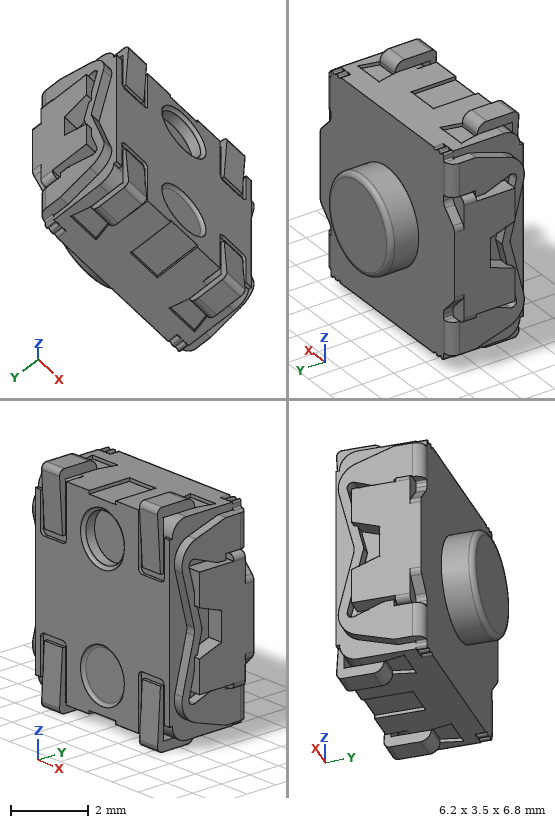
import cadquery as cq
import math


BODY_HALF_X = 2.6
BODY_HALF_Z = 3.1
BODY_HEIGHT = 2.2
RECESS_DEPTH = 0.1

COVER_THICKNESS = 0.3
COVER_TOP = BODY_HEIGHT + COVER_THICKNESS
COVER_CORNER_RADIUS = 0.05
FLUTE_RADIUS = 0.055
FLUTE_SHOULDER_RADIUS = 0.04
FLUTE_CENTERS_X = (2.22, 2.45)

FLANGE_CORNER_Z = 1.08
FLANGE_ROOT_Z = 1.6
FLANGE_CORNER_RADIUS = 0.26

BUTTON_DIAMETER = 2.9
BUTTON_TOP = 3.4
BUTTON_ROUND = 0.15

SIDE_THICKNESS = 0.3
SIDE_OUTER_X = BODY_HALF_X + SIDE_THICKNESS
SIDE_HALF_Z = 2.88
FOLD_RADIUS = 0.29
SIDE_SHOULDER_Y = 1.7
SIDE_CORNER = (0.03, 2.35)
SIDE_CORNER_RADIUS = 0.7
SIDE_APEX_Y = 0.62
SIDE_APEX_RADIUS = 0.45
FOLD_START_Z = 1.88

SLOT_APEX_Y = 0.87
SLOT_CORNER = (0.35, 2.1)
SLOT_CORNER_RADIUS = 0.15
SLOT_TOP_Y = 1.42

TAB_OUTER_X = 3.1
TAB_HALF_Z = 1.7
TAB_END_Y = 0.6
TAB_NOTCH_Y = 1.37
TAB_NOTCH_MOUTH_HALF = 0.71
TAB_NOTCH_FLOOR_HALF = 0.44
EAR_START_Y = 1.8
EAR_ROUND = 0.18
EAR_GAP = 0.1

LEAD_CENTER_X = 1.9
LEAD_WIDTH = 0.7
LEAD_OUTER_Z = 3.4
LEAD_SHOULDER_Y = 1.2
LEAD_SHOULDER_RADIUS = 0.3
LEAD_HEEL_RADIUS = 0.17
LEAD_HEEL_Y = -0.111
LEAD_FOOT_END_Z = 1.55

LEAD_POCKET_HALF_WIDTH = 0.5
LEAD_POCKET_INNER_Z = 1.35
LEAD_POCKET_RADIUS = 0.15
EDGE_ROUND_RADIUS = 0.5
WINDOW_TOP_Y = 1.8
WINDOW_TOP_HALF = 0.49

MIDDLE_RECESS_HALF_X = 0.515
MIDDLE_RECESS_TOP_Y = 1.4

HOLE_DIAMETER = 1.5
HOLE_CENTER_Z = 1.9
HOLE_RIM_ROUND = 0.1
UPPER_HOLE_DEPTH = 0.4
LOWER_HOLE_DEPTH = HOLE_RIM_ROUND

SIGNS = (-1, 1)
POSITION_TOLERANCE = 1e-4


def block(x0, x1, y0, y1, z0, z1):
    """Axis-aligned box between two opposite corners."""
    return cq.Workplane("XY").box(x1 - x0, y1 - y0, z1 - z0, centered=False).translate((x0, y0, z0))


def prism_along_x(points, x0, x1):
    """Extrude a (Y, Z) outline from x0 to x1."""
    return cq.Workplane("YZ").polyline(points).close().extrude(x1 - x0).translate((x0, 0, 0))


def prism_along_y(points, y0, y1):
    """Extrude an (X, Z) outline from y0 to y1."""
    return cq.Workplane("XZ").polyline(points).close().extrude(y0 - y1).translate((0, y0, 0))


def prism_along_z(points, z0, z1):
    """Extrude an (X, Y) outline from z0 to z1."""
    return cq.Workplane("XY").polyline(points).close().extrude(z1 - z0).translate((0, 0, z0))


def mirrored_z(shape):
    return shape.union(shape.mirror("XY"))


def mirrored_xz(shape):
    """Copy a shape from the +X, +Z quarter into all four quarters."""
    both_ends = mirrored_z(shape)
    return both_ends.union(both_ends.mirror("YZ"))


def edge_at(shape, direction, y, z):
    """Select the edges parallel to a direction that pass through (y, z)."""
    return shape.edges(direction).filter(
        lambda edge: math.hypot(edge.Center().y - y, edge.Center().z - z) < POSITION_TOLERANCE
    )


def round_recess(center_z, depth):
    """Blind hole in the sole with a rounded-over rim, as a cutting solid."""
    radius = HOLE_DIAMETER / 2
    rim_radius = radius + HOLE_RIM_ROUND
    outline = cq.Workplane("XY").moveTo(0, 0).lineTo(rim_radius, 0)
    outline = outline.radiusArc((radius, HOLE_RIM_ROUND), -HOLE_RIM_ROUND)
    if depth > HOLE_RIM_ROUND:
        outline = outline.lineTo(radius, depth)
    profile = outline.lineTo(0, depth).close()
    return profile.revolve(360, (0, 0), (0, 1)).translate((0, 0, center_z))


def lead_recess():
    """Pocket under a lead foot, rounded body edge and window in the end wall."""
    inner_x = LEAD_CENTER_X - LEAD_POCKET_HALF_WIDTH
    outer_x = LEAD_CENTER_X + LEAD_POCKET_HALF_WIDTH
    pocket = block(inner_x, outer_x, 0, RECESS_DEPTH, LEAD_POCKET_INNER_Z, BODY_HALF_Z)
    pocket = pocket.edges("|Y and <Z").fillet(LEAD_POCKET_RADIUS)

    round_start_z = BODY_HALF_Z - EDGE_ROUND_RADIUS
    round_end_y = RECESS_DEPTH + EDGE_ROUND_RADIUS
    edge_cut = block(inner_x, BODY_HALF_X, 0, round_end_y, round_start_z, BODY_HALF_Z)
    edge_cylinder = (
        cq.Workplane("YZ")
        .center(round_end_y, round_start_z)
        .circle(EDGE_ROUND_RADIUS)
        .extrude(BODY_HALF_X)
    )
    edge_cut = edge_cut.cut(edge_cylinder)

    window = prism_along_z(
        [
            (LEAD_CENTER_X - LEAD_WIDTH / 2, LEAD_SHOULDER_Y),
            (LEAD_CENTER_X + LEAD_WIDTH / 2, LEAD_SHOULDER_Y),
            (LEAD_CENTER_X + WINDOW_TOP_HALF, WINDOW_TOP_Y),
            (LEAD_CENTER_X - WINDOW_TOP_HALF, WINDOW_TOP_Y),
        ],
        BODY_HALF_Z - RECESS_DEPTH,
        BODY_HALF_Z,
    )
    return pocket.union(edge_cut).union(window)


def make_body():
    body = block(-BODY_HALF_X, BODY_HALF_X, 0, BODY_HEIGHT, -BODY_HALF_Z, BODY_HALF_Z)
    body = body.cut(mirrored_xz(lead_recess()))
    middle_recess = block(
        -MIDDLE_RECESS_HALF_X, MIDDLE_RECESS_HALF_X,
        0, MIDDLE_RECESS_TOP_Y,
        BODY_HALF_Z - RECESS_DEPTH, BODY_HALF_Z,
    )
    body = body.cut(mirrored_z(middle_recess))
    body = body.cut(round_recess(HOLE_CENTER_Z, UPPER_HOLE_DEPTH))
    return body.cut(round_recess(-HOLE_CENTER_Z, LOWER_HOLE_DEPTH))


def make_lead():
    """L-shaped lead: upright against the end wall and a slightly inclined foot."""
    half = LEAD_WIDTH / 2
    lead = prism_along_x(
        [
            (LEAD_SHOULDER_Y, BODY_HALF_Z),
            (LEAD_SHOULDER_Y, LEAD_OUTER_Z),
            (LEAD_HEEL_Y, LEAD_OUTER_Z),
            (0, LEAD_FOOT_END_Z),
            (RECESS_DEPTH, LEAD_FOOT_END_Z),
            (RECESS_DEPTH, BODY_HALF_Z),
        ],
        LEAD_CENTER_X - half,
        LEAD_CENTER_X + half,
    )
    lead = edge_at(lead, "|X", LEAD_HEEL_Y, LEAD_OUTER_Z).fillet(LEAD_HEEL_RADIUS)
    shoulder_cut = block(
        0, BODY_HALF_X,
        LEAD_SHOULDER_Y - LEAD_SHOULDER_RADIUS, LEAD_SHOULDER_Y,
        BODY_HALF_Z, LEAD_OUTER_Z,
    )
    shoulder = (
        cq.Workplane("YZ")
        .center(LEAD_SHOULDER_Y - LEAD_SHOULDER_RADIUS, LEAD_OUTER_Z - LEAD_SHOULDER_RADIUS)
        .circle(LEAD_SHOULDER_RADIUS)
        .extrude(BODY_HALF_X)
    )
    return lead.cut(shoulder_cut.cut(shoulder))


def make_fold_root(end_z, direction):
    """Small concave fillet between the cover edge and the end of a fold at end_z.

    The fillet runs away from the fold, towards +Z or -Z as direction is 1 or -1.
    """
    outer_x = BODY_HALF_X + COVER_CORNER_RADIUS
    outer_z = end_z + direction * COVER_CORNER_RADIUS
    root = block(
        BODY_HALF_X, outer_x,
        BODY_HEIGHT, COVER_TOP,
        min(end_z, outer_z), max(end_z, outer_z),
    )
    hollow = (
        cq.Workplane("XZ", origin=(outer_x, BODY_HEIGHT, outer_z))
        .circle(COVER_CORNER_RADIUS)
        .extrude(-COVER_THICKNESS)
    )
    return root.cut(hollow)


def make_cover():
    """Flat cover with rounded corners, edge flutes and a flange above each latch tab."""
    cover = block(-BODY_HALF_X, BODY_HALF_X, BODY_HEIGHT, COVER_TOP, -BODY_HALF_Z, BODY_HALF_Z)
    cover = cover.edges("|Y").fillet(COVER_CORNER_RADIUS)
    flute_centers = [
        (sx * x, sz * BODY_HALF_Z) for x in FLUTE_CENTERS_X for sx in SIGNS for sz in SIGNS
    ]
    flutes = (
        cq.Workplane("XZ", origin=(0, BODY_HEIGHT, 0))
        .pushPoints(flute_centers)
        .circle(FLUTE_RADIUS)
        .extrude(-COVER_THICKNESS)
    )
    flange = prism_along_y(
        [
            (-TAB_OUTER_X, FLANGE_CORNER_Z),
            (-BODY_HALF_X, FLANGE_ROOT_Z),
            (BODY_HALF_X, FLANGE_ROOT_Z),
            (TAB_OUTER_X, FLANGE_CORNER_Z),
            (TAB_OUTER_X, -FLANGE_CORNER_Z),
            (BODY_HALF_X, -FLANGE_ROOT_Z),
            (-BODY_HALF_X, -FLANGE_ROOT_Z),
            (-TAB_OUTER_X, -FLANGE_CORNER_Z),
        ],
        BODY_HEIGHT,
        COVER_TOP,
    )
    for side in SIGNS:
        for end in SIGNS:
            corner = cq.selectors.NearestToPointSelector(
                (side * TAB_OUTER_X, (BODY_HEIGHT + COVER_TOP) / 2, end * FLANGE_CORNER_Z)
            )
            flange = flange.edges(corner).fillet(FLANGE_CORNER_RADIUS)
    cover = cover.cut(flutes)
    shoulders = cover.edges("|Y").filter(
        lambda edge: abs(abs(edge.Center().z) - BODY_HALF_Z) < POSITION_TOLERANCE
        and abs(edge.Center().x) < BODY_HALF_X - COVER_CORNER_RADIUS - POSITION_TOLERANCE
    )
    cover = shoulders.fillet(FLUTE_SHOULDER_RADIUS).union(flange)
    cover = cover.union(mirrored_xz(make_fold_root(SIDE_HALF_Z, 1)))
    cover = cover.union(mirrored_xz(make_fold_root(FOLD_START_Z, -1)))
    roots = cover.edges("|Y").filter(
        lambda edge: abs(abs(edge.Center().x) - BODY_HALF_X) < POSITION_TOLERANCE
        and abs(abs(edge.Center().z) - FLANGE_ROOT_Z) < POSITION_TOLERANCE
    )
    return roots.fillet(FLANGE_CORNER_RADIUS)


def make_latch_tab():
    """Notched tab with a rounded ear at each upper corner, on the +X side."""
    tab = prism_along_x(
        [
            (BODY_HEIGHT, -TAB_HALF_Z),
            (BODY_HEIGHT, TAB_HALF_Z),
            (TAB_END_Y, TAB_HALF_Z),
            (TAB_END_Y, TAB_NOTCH_MOUTH_HALF),
            (TAB_NOTCH_Y, TAB_NOTCH_FLOOR_HALF),
            (TAB_NOTCH_Y, -TAB_NOTCH_FLOOR_HALF),
            (TAB_END_Y, -TAB_NOTCH_MOUTH_HALF),
            (TAB_END_Y, -TAB_HALF_Z),
        ],
        BODY_HALF_X,
        TAB_OUTER_X,
    )
    ears = block(BODY_HALF_X, TAB_OUTER_X, EAR_START_Y, BODY_HEIGHT, -FOLD_START_Z, FOLD_START_Z)
    ears = ears.edges("|Y and >X").fillet(EAR_ROUND)
    return tab.union(ears)


def make_side_plate(rounded_apex):
    """Folded plate on the +X side with its opening and latch tab."""
    corner_y, corner_z = SIDE_CORNER
    plate = prism_along_x(
        [
            (COVER_TOP, -SIDE_HALF_Z),
            (COVER_TOP, SIDE_HALF_Z),
            (SIDE_SHOULDER_Y, SIDE_HALF_Z),
            (corner_y, corner_z),
            (SIDE_APEX_Y, 0),
            (corner_y, -corner_z),
            (SIDE_SHOULDER_Y, -SIDE_HALF_Z),
        ],
        BODY_HALF_X,
        SIDE_OUTER_X,
    )
    for end in SIGNS:
        plate = edge_at(plate, "|X", corner_y, end * corner_z).fillet(SIDE_CORNER_RADIUS)
    if rounded_apex:
        plate = edge_at(plate, "|X", SIDE_APEX_Y, 0).fillet(SIDE_APEX_RADIUS)
    plate = plate.edges("|Z and >X and >Y").fillet(FOLD_RADIUS)

    slot_y, slot_z = SLOT_CORNER
    slot = prism_along_x(
        [
            (SLOT_TOP_Y, -TAB_HALF_Z),
            (SLOT_TOP_Y, TAB_HALF_Z),
            (slot_y, slot_z),
            (SLOT_APEX_Y, 0),
            (slot_y, -slot_z),
        ],
        BODY_HALF_X,
        SIDE_OUTER_X,
    )
    for end in SIGNS:
        slot = edge_at(slot, "|X", slot_y, end * slot_z).fillet(SLOT_CORNER_RADIUS)
    fold_gap = block(
        BODY_HALF_X, SIDE_OUTER_X,
        EAR_START_Y - EAR_GAP, COVER_TOP,
        -FOLD_START_Z, FOLD_START_Z,
    )
    return plate.cut(slot).cut(fold_gap).union(make_latch_tab())


def make_button():
    button = cq.Workplane("XZ").circle(BUTTON_DIAMETER / 2).extrude(-(BUTTON_TOP - BODY_HEIGHT))
    button = button.translate((0, BODY_HEIGHT, 0))
    return button.faces(">Y").edges().fillet(BUTTON_ROUND)


result = make_body()
result = result.union(mirrored_xz(make_lead()))
result = result.union(make_side_plate(rounded_apex=True))
result = result.union(make_side_plate(rounded_apex=False).mirror("YZ"))
result = result.union(make_cover())
result = result.union(make_button())